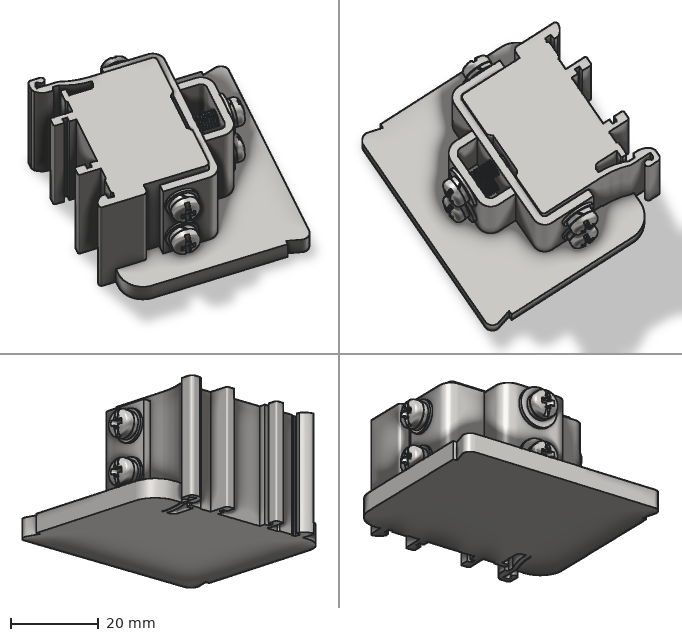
import cadquery as cq
import math


PLATE_WIDTH = 54.0
PLATE_DEPTH = 45.05
PLATE_HEIGHT = 4.65
PLATE_FRONT_RADIUS = 6.0
PLATE_REAR_RADIUS = 2.0
NOTCH_Y = 39.1
NOTCH_FLANK_ANGLE = 15.5

WALL = 2.0
BRACKET_HALF_WIDTH = 19.3
BRACKET_REAR_Y = 26.0
BRACKET_FRONT_Y = 11.6
BRACKET_TOP = 27.25
BRACKET_OUTER_RADIUS = 3.0
HAT_HALF_WIDTH = 8.95
HAT_REAR_Y = 34.0
HAT_TOP = 27.1
HAT_OUTER_RADIUS = 3.5

PROFILE_TOP = 28.7
PROFILE_HALF_WIDTH = 16.9
PROFILE_REAR_Y = BRACKET_REAR_Y - WALL
PROFILE_CORNER_RADIUS = 1.0
PROFILE_FRONT_Y = 0.5
SHOULDER_Y = 7.8
SLOT_RIGHT_X = -13.55
SLOT_RADIUS = 1.2
RECESS_HALF_WIDTH = 6.0
RECESS_DEPTH = 1.0

PAD_FRONT_Y = 0.05
PAD_INNER_X = 11.95
PAD_OUTER_X = 16.45
FINGER_TIP_X = -15.55
FINGER_BACK_Y = 1.5
PAD_CHAMFER = 0.3

LEG_OUTER_X = 8.9
LEG_WIDTH = 2.45
LEG_FRONT_Y = -5.0
LEG_RADIUS = 0.45
LEG_NOTCH_DEPTH = 1.25
LEG_NOTCH_WIDTH = 1.2
LEG_NOTCH_Y = -1.85

ARM_FOOT_X = -18.2
ARM_FOOT_Y = 0.65
ARM_ROOT_INNER_X = FINGER_TIP_X
ARM_FOOT_INNER_X = -17.15
ARM_PLATE_GAP = 0.15
TOTAL_DEPTH = 51.0
HOOK_FRONT_Y = PLATE_DEPTH - TOTAL_DEPTH
HOOK_FLOOR_Y = -4.65
HOOK_LEFT_X = -20.8
HOOK_CORNER_RADIUS = 0.9
HOOK_POCKET_X = -19.75
HOOK_POCKET_RADIUS = 0.7
HOOK_TIP_RADIUS = 0.8
HOOK_TIP_Y = -2.85
HOOK_TIP_ANGLE = 30.0
HOOK_BEVEL_INNER = (-17.5, -5.5)
HOOK_BEVEL_OUTER_X = -18.3
HOOK_FLANK_MIDDLE = (-16.6, -4.15)

BARB_ROOT_Y = -1.1
BARB_EDGE_Y = -1.3
ARM_BARB_X = -16.2
ARM_BARB_FRONT_Y = -2.55
LUG_BARB_X = 16.3
LUG_BARB_FRONT_Y = -2.25

LUG_SIDE_X = 19.55
LUG_NECK_X = 17.55
LUG_NECK_Y = 0.4
LUG_FRONT_Y = -4.0
LUG_FRONT_RADIUS = 0.75
LUG_SHOULDER_RADIUS = 1.0
LUG_FLANK_MIDDLE = (17.2, -3.4)

SHANK_RADIUS = 2.0
THREAD_PITCH = 0.7
THREAD_DEPTH = 0.4
HEAD_RADIUS = 3.4
HEAD_CYLINDER = 1.0
HEAD_SHOULDER_RADIUS = 2.8
HEAD_SHOULDER_HEIGHT = 2.05
HEAD_HEIGHT = 2.65
HEAD_ROUND_MIDDLE = (3.25, 1.6)
HEAD_DOME_MIDDLE = (1.4, 2.5)
SPRING_RADIUS = 3.3
SPRING_THICKNESS = 1.2
SPRING_SPLIT = 0.3
SPRING_SPLIT_ANGLE = 35.0
DRIVE_SLOT_WIDTH = 1.0
DRIVE_SLOT_DEPTH = 1.2
CROSS_WIDTH = 1.3
CROSS_HALF_LENGTH = 2.05
CROSS_DEPTH = 1.9

REAR_WASHER_RADIUS = 4.95
REAR_WASHER_THICKNESS = 0.8
REAR_HEAD_GAP = 0.0
REAR_SCREW_HEIGHTS = [9.4, 22.4]
REAR_SHANK_LENGTH = HAT_REAR_Y - PROFILE_REAR_Y + RECESS_DEPTH

SIDE_WASHER_RADIUS = 4.05
SIDE_WASHER_THICKNESS = 0.65
SIDE_HEAD_GAP = 0.15
SIDE_SCREW_HEIGHTS = [10.25, 21.85]
SIDE_SCREW_Y = 16.1
SIDE_SHANK_LENGTH = BRACKET_HALF_WIDTH - PROFILE_HALF_WIDTH


def block(x0, x1, y0, y1, height):
    """Box standing on Z = 0."""
    return cq.Workplane("XY").box(x1 - x0, y1 - y0, height, centered=False).translate((x0, y0, 0))


def bend_midpoint(straight_end, foot):
    """Middle point of an arc that leaves straight_end along Y and bends to foot."""
    drop = straight_end[1] - foot[1]
    offset = straight_end[0] - foot[0]
    radius = (drop**2 + offset**2) / (2 * offset)
    half_drop = drop / 2
    bend = radius - math.sqrt(radius**2 - half_drop**2)
    return (straight_end[0] - bend, straight_end[1] - half_drop)


def base_plate():
    half = PLATE_WIDTH / 2
    r = PLATE_REAR_RADIUS
    angle = math.radians(NOTCH_FLANK_ANGLE)
    centre = (half - r, PLATE_DEPTH - r)
    flank_end = (centre[0] + r * math.cos(angle), centre[1] - r * math.sin(angle))
    flank_x = flank_end[0] - (flank_end[1] - NOTCH_Y) * math.tan(angle)
    arc_angle = (math.pi / 2 - angle) / 2
    arc_middle = (centre[0] + r * math.cos(arc_angle), centre[1] + r * math.sin(arc_angle))
    right_half = (
        cq.Workplane("XY")
        .lineTo(half, 0)
        .lineTo(half, NOTCH_Y)
        .lineTo(flank_x, NOTCH_Y)
        .lineTo(*flank_end)
        .threePointArc(arc_middle, (centre[0], PLATE_DEPTH))
        .lineTo(0, PLATE_DEPTH)
        .close()
        .extrude(PLATE_HEIGHT)
    )
    plate = right_half.union(right_half.mirror("YZ")).clean()
    plate = plate.edges("|Z and <Y").fillet(PLATE_FRONT_RADIUS)
    return plate.cut(profile_opening())


def profile_opening():
    """Opening of the plate in front of the profile, leaving a gap beside the spring arm."""
    root = (-PROFILE_HALF_WIDTH - ARM_PLATE_GAP, SHOULDER_Y)
    foot = (ARM_FOOT_X - ARM_PLATE_GAP, ARM_FOOT_Y)
    return (
        cq.Workplane("XY")
        .moveTo(*root)
        .threePointArc(bend_midpoint(root, foot), foot)
        .lineTo(foot[0], HOOK_FRONT_Y)
        .lineTo(LUG_NECK_X, HOOK_FRONT_Y)
        .lineTo(LUG_NECK_X, SHOULDER_Y)
        .close()
        .extrude(PLATE_HEIGHT)
    )



def u_bracket(half_width, rear_y, front_y, outer_radius, top):
    """U-shaped wall, open towards -Y, standing on the plate."""
    inner_half = half_width - WALL
    outer = block(-half_width, half_width, front_y, rear_y, top)
    outer = outer.edges("|Z and >Y").fillet(outer_radius)
    inner = block(-inner_half, inner_half, front_y, rear_y - WALL, top)
    inner = inner.edges("|Z and >Y").fillet(outer_radius - WALL)
    return outer.cut(inner).cut(block(-half_width, half_width, front_y, rear_y, PLATE_HEIGHT))


def profile_core():
    rear = block(-PROFILE_HALF_WIDTH, PROFILE_HALF_WIDTH, SHOULDER_Y, PROFILE_REAR_Y, PROFILE_TOP)
    rear = rear.edges("|Z and >Y").fillet(PROFILE_CORNER_RADIUS)
    front = block(SLOT_RIGHT_X, LUG_NECK_X, PROFILE_FRONT_Y, SHOULDER_Y, PROFILE_TOP)
    core = rear.union(front)
    slot_corner = (SLOT_RIGHT_X, SHOULDER_Y, PROFILE_TOP / 2)
    return core.edges(cq.selectors.NearestToPointSelector(slot_corner)).fillet(SLOT_RADIUS)


def rear_recess():
    """Recess with 45-degree flanks in the profile's rear face, above the plate."""
    floor_half = RECESS_HALF_WIDTH - RECESS_DEPTH
    outline = [
        (-RECESS_HALF_WIDTH, PROFILE_REAR_Y),
        (-floor_half, PROFILE_REAR_Y - RECESS_DEPTH),
        (floor_half, PROFILE_REAR_Y - RECESS_DEPTH),
        (RECESS_HALF_WIDTH, PROFILE_REAR_Y),
    ]
    depth = PROFILE_TOP - PLATE_HEIGHT
    return cq.Workplane("XY").workplane(offset=PLATE_HEIGHT).polyline(outline).close().extrude(depth)


def front_pads():
    """Finger that closes the slot in front, and the pad beside the lug; both have bevelled ends."""
    bevel_x = PAD_INNER_X + PROFILE_FRONT_Y - PAD_FRONT_Y
    finger_outline = [
        (-PAD_INNER_X, FINGER_BACK_Y),
        (-PAD_INNER_X, PROFILE_FRONT_Y),
        (-bevel_x, PAD_FRONT_Y),
        (FINGER_TIP_X + PAD_CHAMFER, PAD_FRONT_Y),
        (FINGER_TIP_X, PAD_FRONT_Y + PAD_CHAMFER),
        (FINGER_TIP_X, FINGER_BACK_Y - PAD_CHAMFER),
        (FINGER_TIP_X + PAD_CHAMFER, FINGER_BACK_Y),
    ]
    pad_outline = [
        (PAD_INNER_X, FINGER_BACK_Y),
        (PAD_INNER_X, PROFILE_FRONT_Y),
        (bevel_x, PAD_FRONT_Y),
        (PAD_OUTER_X - PAD_CHAMFER, PAD_FRONT_Y),
        (PAD_OUTER_X, PAD_FRONT_Y + PAD_CHAMFER),
        (PAD_OUTER_X, FINGER_BACK_Y),
    ]
    finger = cq.Workplane("XY").polyline(finger_outline).close().extrude(PROFILE_TOP)
    return finger.union(cq.Workplane("XY").polyline(pad_outline).close().extrude(PROFILE_TOP))


def leg():
    """Right-hand leg, notched on its inner side."""
    inner_x = LEG_OUTER_X - LEG_WIDTH
    body = block(inner_x, LEG_OUTER_X, LEG_FRONT_Y, PROFILE_FRONT_Y, PROFILE_TOP)
    body = body.edges("|Z and <Y").fillet(LEG_RADIUS)
    notch_front = LEG_NOTCH_Y - LEG_NOTCH_WIDTH / 2
    notch_rear = LEG_NOTCH_Y + LEG_NOTCH_WIDTH / 2
    return body.cut(block(inner_x, inner_x + LEG_NOTCH_DEPTH, notch_front, notch_rear, PROFILE_TOP))


def spring_arm():
    root = (-PROFILE_HALF_WIDTH, SHOULDER_Y)
    foot = (ARM_FOOT_X, ARM_FOOT_Y)
    inner_root = (ARM_ROOT_INNER_X, SHOULDER_Y)
    inner_foot = (ARM_FOOT_INNER_X, PROFILE_FRONT_Y)
    tip_x = HOOK_LEFT_X + HOOK_TIP_RADIUS
    tip_angle = math.radians(HOOK_TIP_ANGLE)
    tip_start = (
        tip_x + HOOK_TIP_RADIUS * math.cos(tip_angle),
        HOOK_TIP_Y - HOOK_TIP_RADIUS * math.sin(tip_angle),
    )
    pocket_centre = (HOOK_POCKET_X + HOOK_POCKET_RADIUS, HOOK_FLOOR_Y + HOOK_POCKET_RADIUS)
    pocket_reach = HOOK_POCKET_RADIUS * math.sqrt(0.5)
    corner_centre = (HOOK_LEFT_X + HOOK_CORNER_RADIUS, HOOK_FRONT_Y + HOOK_CORNER_RADIUS)
    corner_reach = HOOK_CORNER_RADIUS * math.sqrt(0.5)
    return (
        cq.Workplane("XY")
        .moveTo(*root)
        .threePointArc(bend_midpoint(root, foot), foot)
        .lineTo(ARM_FOOT_X, HOOK_FLOOR_Y)
        .lineTo(pocket_centre[0], HOOK_FLOOR_Y)
        .threePointArc(
            (pocket_centre[0] - pocket_reach, pocket_centre[1] - pocket_reach),
            (HOOK_POCKET_X, pocket_centre[1]),
        )
        .lineTo(*tip_start)
        .threePointArc((tip_x, HOOK_TIP_Y + HOOK_TIP_RADIUS), (HOOK_LEFT_X, HOOK_TIP_Y))
        .lineTo(HOOK_LEFT_X, corner_centre[1])
        .threePointArc(
            (corner_centre[0] - corner_reach, corner_centre[1] - corner_reach),
            (corner_centre[0], HOOK_FRONT_Y),
        )
        .lineTo(HOOK_BEVEL_OUTER_X, HOOK_FRONT_Y)
        .lineTo(*HOOK_BEVEL_INNER)
        .threePointArc(HOOK_FLANK_MIDDLE, (ARM_BARB_X, ARM_BARB_FRONT_Y))
        .lineTo(ARM_BARB_X, BARB_EDGE_Y)
        .lineTo(ARM_FOOT_INNER_X, BARB_ROOT_Y)
        .lineTo(*inner_foot)
        .threePointArc(bend_midpoint(inner_root, inner_foot), inner_root)
        .close()
        .extrude(PROFILE_TOP)
    )


def lug():
    return (
        cq.Workplane("XY")
        .moveTo(PROFILE_HALF_WIDTH, SHOULDER_Y)
        .lineTo(LUG_SIDE_X - LUG_SHOULDER_RADIUS, SHOULDER_Y)
        .tangentArcPoint((LUG_SIDE_X, SHOULDER_Y - LUG_SHOULDER_RADIUS), relative=False)
        .lineTo(LUG_SIDE_X, LUG_FRONT_Y + LUG_FRONT_RADIUS)
        .tangentArcPoint((LUG_SIDE_X - LUG_FRONT_RADIUS, LUG_FRONT_Y), relative=False)
        .threePointArc(LUG_FLANK_MIDDLE, (LUG_BARB_X, LUG_BARB_FRONT_Y))
        .lineTo(LUG_BARB_X, BARB_EDGE_Y)
        .lineTo(LUG_NECK_X, BARB_ROOT_Y)
        .lineTo(LUG_NECK_X, LUG_NECK_Y)
        .lineTo(PROFILE_HALF_WIDTH, LUG_NECK_Y)
        .close()
        .extrude(PROFILE_TOP)
    )


def screw_planes(x, y, outward, heights):
    """Seat planes of a screw column: normal along the screw's axis, local X up."""
    return [cq.Plane(origin=(x, y, z), xDir=(0, 0, 1), normal=outward) for z in heights]


def screw(washer_radius, washer_thickness, shank_length, head_gap):
    """Screw on the Z axis, seated at Z = 0 with its head upwards and its drive slot along X.

    head_gap is the play between spring washer and head.
    """
    root_radius = SHANK_RADIUS - THREAD_DEPTH
    turns = int(shank_length / THREAD_PITCH)
    thread = cq.Workplane("XZ").moveTo(0, 0).lineTo(root_radius, 0)
    for turn in range(turns):
        crest_z = -(turn + 0.5) * THREAD_PITCH
        thread = thread.lineTo(SHANK_RADIUS, crest_z).lineTo(root_radius, crest_z - THREAD_PITCH / 2)
    thread = thread.lineTo(root_radius, -shank_length).lineTo(0, -shank_length).close().revolve()

    washer = cq.Workplane("XY").circle(washer_radius).extrude(washer_thickness)
    spring = spring_washer().translate((0, 0, washer_thickness))
    head_z = washer_thickness + SPRING_THICKNESS + head_gap
    neck = cq.Workplane("XY").circle(SHANK_RADIUS).extrude(head_z)
    head = screw_head().translate((0, 0, head_z))
    return thread.union(washer).union(spring).union(neck).union(head).val()


def spring_washer():
    """Ring split by a slanted cut."""
    ring = cq.Workplane("XY").circle(SPRING_RADIUS).extrude(SPRING_THICKNESS)
    split = cq.Workplane("XY").box(SPRING_RADIUS, SPRING_SPLIT, 3 * SPRING_THICKNESS)
    split = split.rotate((0, 0, 0), (1, 0, 0), SPRING_SPLIT_ANGLE)
    split = split.translate((SHANK_RADIUS + SPRING_RADIUS / 2, 0, SPRING_THICKNESS / 2))
    return ring.cut(split)


def screw_head():
    head = (
        cq.Workplane("XZ")
        .lineTo(HEAD_RADIUS, 0)
        .lineTo(HEAD_RADIUS, HEAD_CYLINDER)
        .threePointArc(HEAD_ROUND_MIDDLE, (HEAD_SHOULDER_RADIUS, HEAD_SHOULDER_HEIGHT))
        .threePointArc(HEAD_DOME_MIDDLE, (0, HEAD_HEIGHT))
        .close()
        .revolve()
    )
    slot_centre_z = HEAD_HEIGHT - DRIVE_SLOT_DEPTH / 2
    slot = cq.Workplane("XY").box(2 * HEAD_RADIUS, DRIVE_SLOT_WIDTH, DRIVE_SLOT_DEPTH)
    return head.cut(slot.translate((0, 0, slot_centre_z))).cut(cross_recess())


def cross_recess():
    """Cross-shaped recess whose arms taper to a point at its floor."""
    floor_z = HEAD_HEIGHT - CROSS_DEPTH
    arm_length = 2 * CROSS_HALF_LENGTH
    arm_pair = cq.Workplane("XY").rect(arm_length, CROSS_WIDTH).extrude(CROSS_DEPTH)
    cross = arm_pair.union(arm_pair.rotate((0, 0, 0), (0, 0, 1), 90))
    cone = cq.Solid.makeCone(0, CROSS_HALF_LENGTH, CROSS_DEPTH)
    return cross.intersect(cq.Workplane("XY").add(cone)).translate((0, 0, floor_z))


def screw_clearance(plane, washer_radius, washer_thickness, shank_length):
    """Space a seated screw takes in the housing: thread hole and washer seat."""
    hole = cq.Workplane(plane).circle(SHANK_RADIUS).extrude(-shank_length)
    return hole.union(cq.Workplane(plane).circle(washer_radius).extrude(washer_thickness))


housing = base_plate()
housing = housing.union(
    u_bracket(BRACKET_HALF_WIDTH, BRACKET_REAR_Y, BRACKET_FRONT_Y, BRACKET_OUTER_RADIUS, BRACKET_TOP)
)
housing = housing.union(
    u_bracket(HAT_HALF_WIDTH, HAT_REAR_Y, BRACKET_REAR_Y, HAT_OUTER_RADIUS, HAT_TOP)
)
housing = housing.union(profile_core()).union(front_pads()).union(spring_arm()).union(lug())
housing = housing.union(leg()).union(leg().mirror("YZ"))
housing = housing.cut(rear_recess())

rear_size = (REAR_WASHER_RADIUS, REAR_WASHER_THICKNESS, REAR_SHANK_LENGTH)
side_size = (SIDE_WASHER_RADIUS, SIDE_WASHER_THICKNESS, SIDE_SHANK_LENGTH)
rear_planes = screw_planes(0, HAT_REAR_Y, (0, 1, 0), REAR_SCREW_HEIGHTS)
right_planes = screw_planes(BRACKET_HALF_WIDTH, SIDE_SCREW_Y, (1, 0, 0), SIDE_SCREW_HEIGHTS)
left_planes = screw_planes(-BRACKET_HALF_WIDTH, SIDE_SCREW_Y, (-1, 0, 0), SIDE_SCREW_HEIGHTS)
columns = [
    (rear_size, REAR_HEAD_GAP, rear_planes),
    (side_size, SIDE_HEAD_GAP, right_planes),
    (side_size, SIDE_HEAD_GAP, left_planes),
]

screws = []
for size, head_gap, planes in columns:
    for plane in planes:
        housing = housing.cut(screw_clearance(plane, *size))
        screws.append(screw(*size, head_gap).moved(cq.Location(plane)))

result = cq.Compound.makeCompound([housing.val(), *screws])